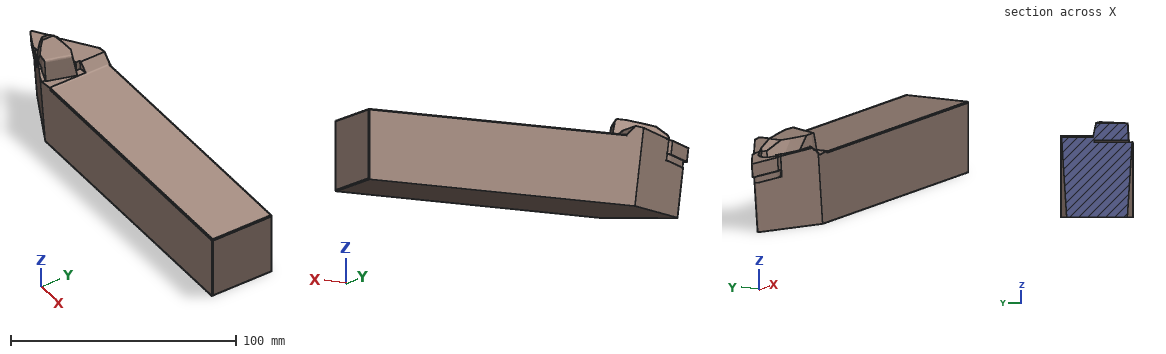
import cadquery as cq
import math

overall_length = 169.07
shank_width = 32.0
shank_height = 32.0
shank_edge_chamfer = 0.5
overall_height = 42.4
half_width = shank_width / 2

tilt = math.radians(7)
half_point_angle = math.radians(27.5)
side_slope = math.tan(half_point_angle)

inscribed_radius = 12.7 / 2
insert_thickness = 6.35
insert_nose_radius = 0.8
insert_half_width = 6.4
nose_setback = 1 / math.sin(half_point_angle) - 1
insert_sharp_tip = -insert_nose_radius * nose_setback
insert_center = insert_sharp_tip + inscribed_radius / math.sin(half_point_angle)

shim_thickness = 3.18
shim_sharp_tip = 0.25
shim_nose_radius = 1.4
shim_side_radius = 5.0

head_sharp_tip = 0.4
head_nose_radius = 1.0
head_shoulder = head_sharp_tip + half_width / side_slope
ramp_start = 34.9
ramp_end = 39.3
ramp_foot_radius = 1.5

recess_wall_top = 28.6
recess_wall_foot = 32.4
recess_depth = 4.2
recess_side = 3.3
recess_side_at_clamp = 1.2
recess_widening = 34.3
recess_end = 45.0

clamp_peak = 34.6
clamp_top = (overall_height - shank_height - clamp_peak * math.tan(tilt)) * math.cos(tilt)
clamp_gap = 0.45
clamp_pad_end = 13.6
clamp_nose = 10.6
clamp_nose_height = 2.5
clamp_slope_end = 17.6
clamp_rear_radius = 1.2
clamp_foot = [
    (9.8, 1.2),
    (10.0, -2.0),
    (16.0, -7.3),
    (22.5, -11.3),
    (30.0, -14.0),
    (32.8, -14.1),
    (37.4, -1.2),
    (31.5, 1.7),
    (25.0, 3.4),
    (11.4, 3.4),
]
clamp_crest = [
    (11.6, 0.4),
    (12.2, -0.5),
    (21.2, -8.2),
    (27.3, -12.8),
    (30.3, -13.6),
    (32.3, -13.7),
    (36.6, -1.8),
    (32.3, 0.4),
    (25.2, 0.9),
    (12.4, 0.9),
]
clamp_rear = 5

margin = 20.0
head_stock = 2 * shank_height
edge_tolerance = 0.3
parallel_limit = 0.99


def head_plane(offset=0.0):
    """Plane of the head: local x runs along the head, local y is Y, offset is along its normal."""
    normal = cq.Vector(-math.sin(tilt), 0, math.cos(tilt))
    origin = cq.Vector(0, 0, shank_height) + normal * offset
    return cq.Plane(origin=origin, xDir=(math.cos(tilt), 0, math.sin(tilt)), normal=normal)


def head_side_plane(side):
    """Plane parallel to XZ at Y = side: local x runs along the head, local y along its normal."""
    x_direction = (math.cos(tilt), 0, math.sin(tilt))
    return cq.Plane(origin=(0, side, shank_height), xDir=x_direction, normal=(0, -1, 0))


def rhombus(sharp_tip, top, thickness):
    """Sharp rhombic plate centred on the insert, hanging down from the given level."""
    half_length = insert_center - sharp_tip
    corner = half_length * side_slope
    return (
        cq.Workplane(head_plane(top))
        .polyline([
            (sharp_tip, 0),
            (insert_center, -corner),
            (insert_center + half_length, 0),
            (insert_center, corner),
        ])
        .close()
        .extrude(-thickness)
    )


def head_edges(body, x, y):
    """Edges along the head normal that pass near the given place on the head."""
    plane = head_plane()
    normal = plane.zDir

    def is_near(edge):
        local = plane.toLocalCoords(edge.Center())
        along = abs(edge.tangentAt(0.5).dot(normal)) > parallel_limit
        return along and math.hypot(local.x - x, local.y - y) < edge_tolerance

    return body.newObject([edge for edge in body.edges().vals() if is_near(edge)])


def make_insert():
    plate = rhombus(insert_sharp_tip, 0, insert_thickness)
    plate = head_edges(plate, insert_sharp_tip, 0).fillet(insert_nose_radius)
    far_tip = 2 * insert_center - insert_sharp_tip
    plate = head_edges(plate, far_tip, 0).fillet(insert_nose_radius)
    band = cq.Workplane("XY").box(4 * insert_center, 2 * insert_half_width, 2 * head_stock)
    return plate.intersect(band)


def make_shim():
    shim = rhombus(shim_sharp_tip, -insert_thickness, shim_thickness)
    shim = head_edges(shim, shim_sharp_tip, 0).fillet(shim_nose_radius)
    corner = (insert_center - shim_sharp_tip) * side_slope
    for side in (-1, 1):
        shim = head_edges(shim, insert_center, side * corner).fillet(shim_side_radius)
    return shim


def make_holder_blank():
    """Leaning wedge outline of the head carried back along the shank, trimmed to the side profile."""
    outline = (
        cq.Workplane(head_plane(-head_stock))
        .polyline([
            (head_sharp_tip, 0),
            (head_shoulder, -half_width),
            (overall_length + margin, -half_width),
            (overall_length + margin, half_width),
            (head_shoulder, half_width),
        ])
        .close()
        .extrude(head_stock + margin)
    )
    outline = head_edges(outline, head_sharp_tip, 0).fillet(head_nose_radius)
    ramp_top = shank_height + ramp_start * math.tan(tilt)
    front_top = shank_height - margin * math.tan(tilt)
    profile = (
        cq.Workplane("XZ")
        .polyline([
            (-margin, 0),
            (overall_length, 0),
            (overall_length, shank_height),
            (ramp_end, shank_height),
            (ramp_start, ramp_top),
            (-margin, front_top),
        ])
        .close()
        .extrude(half_width, both=True)
    )
    ramp_foot = cq.selectors.NearestToPointSelector((ramp_end, 0, shank_height))
    profile = profile.edges(ramp_foot).fillet(ramp_foot_radius)
    profile = profile.faces(">X").chamfer(shank_edge_chamfer)
    return outline.intersect(profile)


def chamfer_shank_sides(holder):
    """Bevel the two long top edges of the shank."""
    bevel_length = overall_length - ramp_end
    for side in (-1, 1):
        corner = side * half_width
        bevel = (
            cq.Workplane("YZ", origin=(ramp_end, 0, 0))
            .polyline([
                (corner, shank_height),
                (corner, shank_height - shank_edge_chamfer),
                (corner - side * shank_edge_chamfer, shank_height),
            ])
            .close()
            .extrude(bevel_length)
        )
        holder = holder.cut(bevel)
    return holder


def insert_pocket():
    """Room for the insert and shim, left sharp in its wide corners."""
    depth = insert_thickness + shim_thickness
    return rhombus(insert_sharp_tip, margin, margin + depth)


def clamp_recess():
    """Step across the head behind its sloping wall, open toward -Y and widened behind the clamp."""
    step = (
        cq.Workplane(head_side_plane(recess_side))
        .polyline([
            (recess_wall_top, 0),
            (recess_wall_foot, -recess_depth),
            (recess_end, -recess_depth),
            (recess_end, margin),
            (recess_wall_top, margin),
        ])
        .close()
        .extrude(recess_side + half_width)
    )
    plan = (
        cq.Workplane(head_plane(-recess_depth))
        .polyline([
            (0, -half_width),
            (recess_end, -half_width),
            (recess_end, recess_side),
            (recess_widening, recess_side),
            (recess_widening, recess_side_at_clamp),
            (0, recess_side_at_clamp),
        ])
        .close()
        .extrude(recess_depth + margin)
    )
    return step.intersect(plan)


def clamp_section(level):
    """Corners of the clamp outline at a level along the head normal."""
    share = level / clamp_top
    return [
        (foot[0] + share * (crest[0] - foot[0]), foot[1] + share * (crest[1] - foot[1]))
        for foot, crest in zip(clamp_foot, clamp_crest)
    ]


def make_clamp():
    """Tapered claw: its nose presses on the insert and its tail stands on the recess floor."""
    claw = (
        cq.Workplane(head_plane(-recess_depth))
        .polyline(clamp_section(-recess_depth))
        .close()
        .workplane(offset=recess_depth + clamp_top)
        .polyline(clamp_section(clamp_top))
        .close()
        .loft(ruled=True)
    )
    profile = (
        cq.Workplane(head_side_plane(half_width))
        .polyline([
            (0, 0),
            (clamp_pad_end, 0),
            (clamp_pad_end, clamp_gap),
            (recess_wall_top + clamp_gap, clamp_gap),
            (recess_wall_foot + clamp_gap, -recess_depth),
            (recess_end, -recess_depth),
            (recess_end, clamp_top),
            (clamp_slope_end, clamp_top),
            (clamp_nose, clamp_nose_height),
            (0, clamp_nose_height),
        ])
        .close()
        .extrude(shank_width)
    )
    clamp = claw.intersect(profile)
    rear_edge = [
        (start + end) / 2 for start, end in zip(clamp_crest[clamp_rear], clamp_crest[clamp_rear + 1])
    ]
    rear_point = head_plane().toWorldCoords((*rear_edge, clamp_top)).toTuple()
    return clamp.edges(cq.selectors.NearestToPointSelector(rear_point)).fillet(clamp_rear_radius)


insert = make_insert()
holder = chamfer_shank_sides(make_holder_blank())
holder = holder.cut(insert_pocket()).cut(clamp_recess()).union(make_shim()).union(make_clamp())

result = cq.Compound.makeCompound([holder.val(), insert.val()])